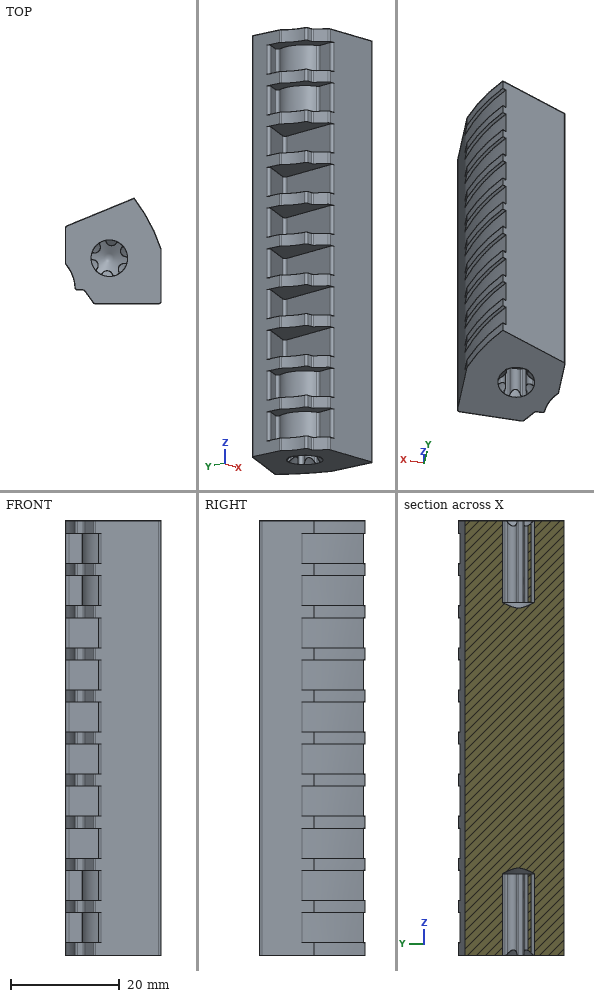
import cadquery as cq
import math

length = 80.0
width = 17.6
depth = 19.4
crest_x = 12.6
back_left_y = 14.2
curve_end_y = 10.1
curve_radius = 32.0
corner_radius = 0.5

notch_left_y = 7.4
notch_arc_sag = 0.5
tooth_x = 1.8
step_x = 3.4
step_y = 2.6
notch_front_x = 5.3

pocket_count = 10
pocket_height = 5.5
end_rib_height = 2.4
pocket_left_y = 9.9
pocket_front_x = 6.0
front_wall_tilt = 7.5
curve_recess = 0.6

hole_x = 8.1
hole_y = 8.4
hole_radius = 3.4
hole_depth = 15.0
drill_tip_angle = 118.0
flute_rib_count = 6
flute_rib_radius = 1.0
flute_rib_angle = 23.0
flute_rounding = 0.3
hub_radius = 5.0
hub_pockets_per_end = 2

back_slope = (depth - back_left_y) / crest_x
wall_lean = math.tan(math.radians(front_wall_tilt))
pocket_pitch = (length - 2 * end_rib_height - pocket_height) / (pocket_count - 1)
inner_rib_height = pocket_pitch - pocket_height
tip_depth = hole_radius / math.tan(math.radians(drill_tip_angle / 2))


def curve_center():
    """Center of the arc that joins the crest to the right side."""
    chord_x = width - crest_x
    chord_y = curve_end_y - depth
    chord = math.hypot(chord_x, chord_y)
    offset = math.sqrt(curve_radius**2 - (chord / 2) ** 2)
    center_x = (crest_x + width) / 2 + offset * chord_y / chord
    center_y = (depth + curve_end_y) / 2 - offset * chord_x / chord
    return center_x, center_y


def finish_slice(slice_body, height, curve_setback):
    """Round the long edges, then trim the slice to the curved side."""
    curve = cq.Workplane("XY").center(*curve_center()).circle(curve_radius - curve_setback)
    return slice_body.edges("|Z").fillet(corner_radius).intersect(curve.extrude(height))


def rib_slice(height):
    """Rib: the block outline with the notched front left edge."""
    outline = (
        cq.Workplane("XY")
        .moveTo(notch_front_x, 0)
        .lineTo(width, 0)
        .lineTo(width, back_left_y + back_slope * width)
        .lineTo(0, back_left_y)
        .lineTo(0, notch_left_y)
        .sagittaArc((tooth_x, step_y), notch_arc_sag)
        .lineTo(step_x, step_y)
        .close()
    )
    return finish_slice(outline.extrude(height), height, 0)


def pocket_slice(with_hub):
    """Stretch between two ribs, cut back to two walls that meet in a V."""
    inner_x = (pocket_left_y + pocket_front_x / wall_lean) / (1 / wall_lean - back_slope)
    inner_y = pocket_left_y + back_slope * inner_x
    outline = [
        (pocket_front_x, 0),
        (width, 0),
        (width, back_left_y + back_slope * width),
        (0, back_left_y),
        (0, pocket_left_y),
        (inner_x, inner_y),
    ]
    body = cq.Workplane("XY").polyline(outline).close().extrude(pocket_height)
    if with_hub:
        hub = cq.Workplane("XY").center(hole_x, hole_y).circle(hub_radius).extrude(pocket_height)
        v_edge = cq.NearestToPointSelector((inner_x, inner_y, pocket_height / 2))
        body = body.edges(v_edge).fillet(corner_radius).union(hub)
    return finish_slice(body, pocket_height, curve_recess)


def hole_cutter():
    """Hole opening downward at Z = 0: flutes between ribs, 45 degree lead-in and drill tip."""
    bore = cq.Workplane("XY").circle(hole_radius).extrude(hole_depth)
    flute_ribs = (
        cq.Workplane("XY")
        .polarArray(hole_radius, 0, 360, flute_rib_count)
        .circle(flute_rib_radius)
        .extrude(hole_depth)
    )
    lead_in = cq.Workplane("XZ").polyline([(0, 0), (hole_radius, 0), (0, hole_radius)]).close().revolve()
    tip_outline = [(0, hole_depth), (hole_radius, hole_depth), (0, hole_depth + tip_depth)]
    tip = cq.Workplane("XZ").polyline(tip_outline).close().revolve()
    flutes = bore.cut(flute_ribs).edges("|Z").fillet(flute_rounding)
    cutter = flutes.union(lead_in).union(tip)
    return cutter.rotate((0, 0, 0), (0, 0, 1), flute_rib_angle)


result = rib_slice(end_rib_height)
for index in range(pocket_count):
    pocket_bottom = end_rib_height + index * pocket_pitch
    has_hub = min(index, pocket_count - 1 - index) < hub_pockets_per_end
    rib_height = end_rib_height if index == pocket_count - 1 else inner_rib_height
    result = result.union(pocket_slice(has_hub).translate((0, 0, pocket_bottom)))
    result = result.union(rib_slice(rib_height).translate((0, 0, pocket_bottom + pocket_height)))

bottom_hole = hole_cutter().translate((hole_x, hole_y, 0))
top_hole = bottom_hole.mirror("XY", (0, 0, length / 2))
result = result.cut(bottom_hole).cut(top_hole)